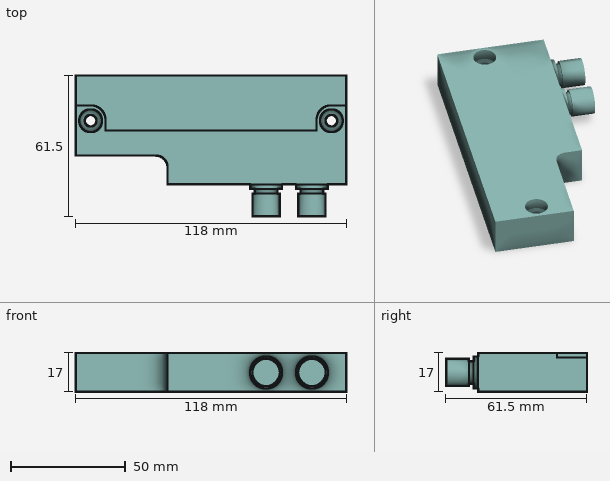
import cadquery as cq

length = 118.0
height = 17.0
full_depth = 47.5
shallow_depth = 35.0
step_x = 40.0
step_radius = 5.0

hole_inset = 6.5
hole_y = -19.75
hole_diameter = 5.0
counterbore_diameter = 10.0
counterbore_depth = 5.0

cover_depth = 24.0
cover_thickness = 2.0
notch_radius = 6.5
notch_width = 2 * hole_inset
notch_y = -13.0

connector_pitch = 20.0
connector_end_inset = 15.0
connector_z = height / 2
connector_sections = [
    (14.0, 2.0),
    (10.0, 2.0),
    (12.0, 10.0),
]


def make_cover():
    """Cover plate whose corner notches curve around the mounting holes."""
    right_notch_x = length - notch_width
    return (
        cq.Workplane("XY", origin=(0, 0, height - cover_thickness))
        .lineTo(length, 0)
        .lineTo(length, notch_y)
        .lineTo(right_notch_x + notch_radius, notch_y)
        .radiusArc((right_notch_x, notch_y - notch_radius), -notch_radius)
        .lineTo(right_notch_x, -cover_depth)
        .lineTo(notch_width, -cover_depth)
        .lineTo(notch_width, notch_y - notch_radius)
        .radiusArc((notch_width - notch_radius, notch_y), -notch_radius)
        .lineTo(0, notch_y)
        .close()
        .extrude(cover_thickness)
    )


def make_housing(cover):
    """Stepped block with a recess for the cover and two counterbored through holes."""
    block = (
        cq.Workplane("XY")
        .lineTo(length, 0)
        .lineTo(length, -full_depth)
        .lineTo(step_x, -full_depth)
        .lineTo(step_x, -shallow_depth - step_radius)
        .radiusArc((step_x - step_radius, -shallow_depth), -step_radius)
        .lineTo(0, -shallow_depth)
        .close()
        .extrude(height)
    )
    hole_centers = [(hole_inset, hole_y), (length - hole_inset, hole_y)]
    return (
        block.cut(cover)
        .copyWorkplane(cq.Workplane("XY", origin=(0, 0, height)))
        .pushPoints(hole_centers)
        .cboreHole(hole_diameter, counterbore_diameter, counterbore_depth)
    )


def make_connector(center_x):
    """Solid connector of stacked coaxial cylinders standing on the front face."""
    connector = cq.Workplane("XY")
    section_y = -full_depth
    for diameter, section_length in connector_sections:
        section = (
            cq.Workplane("XZ", origin=(center_x, section_y, connector_z))
            .circle(diameter / 2)
            .extrude(section_length)
        )
        connector = connector.union(section)
        section_y -= section_length
    return connector


cover = make_cover()
housing = make_housing(cover)

right_connector_x = length - connector_end_inset
connectors = []
for connector_x in (right_connector_x - connector_pitch, right_connector_x):
    connectors.append(make_connector(connector_x).val())

result = cq.Compound.makeCompound([housing.val(), cover.val(), *connectors])